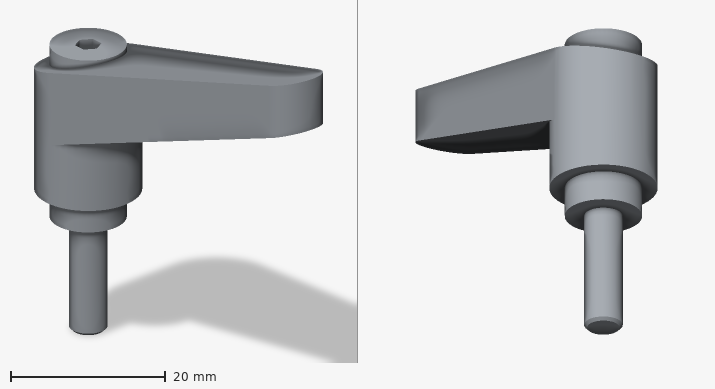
import math

import cadquery as cq


STUD_DIAMETER = 5.0
STUD_LENGTH = 16.0
STUD_CHAMFER = 0.4

COLLAR_DIAMETER = 10.0
COLLAR_HEIGHT = 4.0

HUB_RADIUS = 7.0
TIP_RADIUS = 4.0
TIP_REACH = 45.0
TIP_TOP_HEIGHT = 35.69
TIP_THICKNESS = 7.2
TOP_SLOPE = 16.3
UNDERSIDE_SLOPE = 19.9

HEAD_DIAMETER = 10.0
HEAD_TOP_HEIGHT = 24.5

SOCKET_ACROSS_FLATS = 3.0
SOCKET_DEPTH = 3.0
SOCKET_TIP_ANGLE = 120.0


def height_on_slope(end_height, slope, x):
    """Height at x of a plane that reaches end_height at the end of the arm."""
    return end_height - (TIP_REACH - x) * math.tan(math.radians(slope))


def cylinder(diameter, bottom, top):
    return cq.Workplane("XY").workplane(offset=bottom).circle(diameter / 2).extrude(top - bottom)


def side_prism(points):
    """Extrude an XZ outline across the full width of the hub."""
    return cq.Workplane("XZ").polyline(points).close().extrude(HUB_RADIUS, both=True)


def make_stud():
    stud = cylinder(STUD_DIAMETER, -STUD_LENGTH, COLLAR_HEIGHT)
    return stud.faces("<Z").chamfer(STUD_CHAMFER)


def make_hub():
    """Cylinder from the collar to the sloping upper face."""
    top_left = height_on_slope(TIP_TOP_HEIGHT, TOP_SLOPE, -HUB_RADIUS)
    top_right = height_on_slope(TIP_TOP_HEIGHT, TOP_SLOPE, HUB_RADIUS)
    envelope = side_prism([
        (-HUB_RADIUS, COLLAR_HEIGHT),
        (HUB_RADIUS, COLLAR_HEIGHT),
        (HUB_RADIUS, top_right),
        (-HUB_RADIUS, top_left),
    ])
    return envelope.intersect(cylinder(2 * HUB_RADIUS, COLLAR_HEIGHT, TIP_TOP_HEIGHT))


def make_arm():
    """Straight sides tangent to the hub and to the rounded tip, between two sloping faces."""
    tip_centre = TIP_REACH - TIP_RADIUS
    taper = math.asin((HUB_RADIUS - TIP_RADIUS) / tip_centre)
    root_x = HUB_RADIUS * math.sin(taper)
    root_y = HUB_RADIUS * math.cos(taper)
    end_x = tip_centre + TIP_RADIUS * math.sin(taper)
    end_y = TIP_RADIUS * math.cos(taper)
    plan = (
        cq.Workplane("XY")
        .moveTo(root_x, -root_y)
        .lineTo(end_x, -end_y)
        .threePointArc((TIP_REACH, 0), (end_x, end_y))
        .lineTo(root_x, root_y)
        .close()
        .extrude(TIP_TOP_HEIGHT)
    )
    tip_bottom_height = TIP_TOP_HEIGHT - TIP_THICKNESS
    envelope = side_prism([
        (root_x, height_on_slope(tip_bottom_height, UNDERSIDE_SLOPE, root_x)),
        (TIP_REACH, tip_bottom_height),
        (TIP_REACH, TIP_TOP_HEIGHT),
        (root_x, height_on_slope(TIP_TOP_HEIGHT, TOP_SLOPE, root_x)),
    ])
    return plan.intersect(envelope)


def make_socket():
    """Hexagonal recess, corners on the X axis, ending in a cone through its corners."""
    corner_radius = SOCKET_ACROSS_FLATS / math.sqrt(3)
    cone_height = corner_radius / math.tan(math.radians(SOCKET_TIP_ANGLE / 2))
    cone_base = HEAD_TOP_HEIGHT - SOCKET_DEPTH
    cone_tip = cone_base - cone_height
    hexagon = (
        cq.Workplane("XY")
        .workplane(offset=cone_tip)
        .polygon(6, 2 * corner_radius)
        .extrude(HEAD_TOP_HEIGHT - cone_tip)
    )
    blank_radius = 2 * corner_radius
    blank = (
        cq.Workplane("XZ")
        .moveTo(0, cone_tip)
        .lineTo(blank_radius, cone_tip + 2 * cone_height)
        .lineTo(blank_radius, HEAD_TOP_HEIGHT)
        .lineTo(0, HEAD_TOP_HEIGHT)
        .close()
        .revolve(360, (0, 0), (0, 1))
    )
    return hexagon.intersect(blank)


collar = cylinder(COLLAR_DIAMETER, 0, COLLAR_HEIGHT)
head = cylinder(HEAD_DIAMETER, COLLAR_HEIGHT, HEAD_TOP_HEIGHT)
lever = make_hub().union(make_arm())
screw = make_stud().union(collar).union(head)
result = lever.union(screw).cut(make_socket())